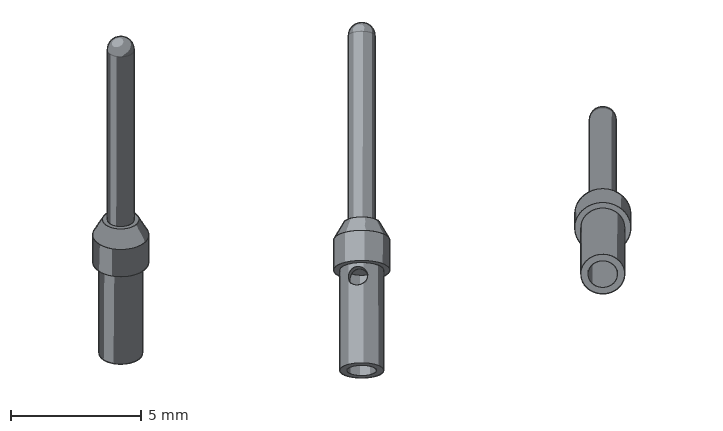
import cadquery as cq

total_length = 14.2
pin_diameter = 1.04
barrel_diameter = 1.69
barrel_length = 4.1
collar_diameter = 2.16
collar_length = 1.23
shoulder_top_diameter = 1.4
shoulder_length = 0.69

bore_diameter = 1.13
bore_depth = barrel_length
inspection_hole_diameter = 0.75
inspection_hole_height = 3.57

pin_radius = pin_diameter / 2
barrel_radius = barrel_diameter / 2
collar_radius = collar_diameter / 2
shoulder_top_radius = shoulder_top_diameter / 2
collar_top = barrel_length + collar_length
shoulder_top = collar_top + shoulder_length
dome_base = total_length - pin_radius


def turned_body():
    """Barrel, collar, conical shoulder and pin with a hemispherical tip."""
    profile = (
        cq.Workplane("XZ")
        .moveTo(0, 0)
        .lineTo(barrel_radius, 0)
        .lineTo(barrel_radius, barrel_length)
        .lineTo(collar_radius, barrel_length)
        .lineTo(collar_radius, collar_top)
        .lineTo(shoulder_top_radius, shoulder_top)
        .lineTo(pin_radius, shoulder_top)
        .lineTo(pin_radius, dome_base)
        .radiusArc((0, total_length), -pin_radius)
        .close()
    )
    return profile.revolve(360, (0, 0, 0), (0, 1, 0))


def wire_bore():
    """Blind bore up the axis from the bottom face."""
    return cq.Workplane("XY").circle(bore_diameter / 2).extrude(bore_depth)


def inspection_hole():
    """Radial hole from the axis out through the +Y wall of the barrel."""
    return (
        cq.Workplane("XZ")
        .center(0, inspection_hole_height)
        .circle(inspection_hole_diameter / 2)
        .extrude(-barrel_diameter)
    )


result = turned_body().cut(wire_bore()).cut(inspection_hole())